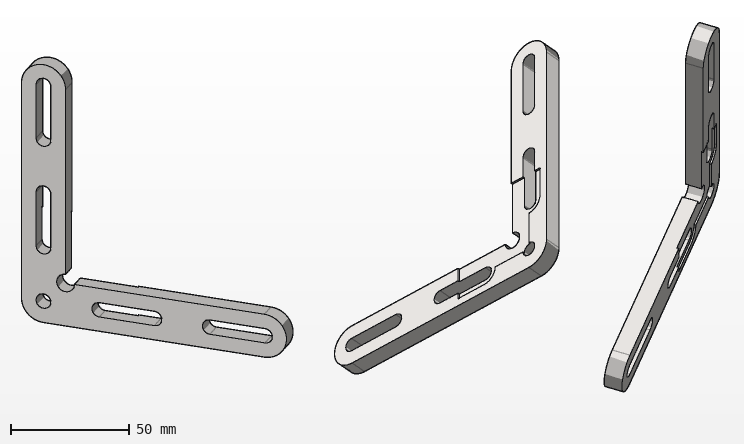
import cadquery as cq

overall = 120.0
thickness = 8.0
arm_width = overall / 6
end_radius = arm_width / 2
relief_radius = overall / 30
hole_diameter = 6.6
slot_travel = 25.0
slot_pitch = 50.0
slot_end_margin = 9.7
recess_depth = 0.8
recess_reach = 50.0
recess_slot_radius = 6.2

axis = end_radius
outer_slot = overall - slot_end_margin - slot_travel / 2
slot_centers = [outer_slot - slot_pitch, outer_slot]
inner_slot_start = slot_centers[0] - slot_travel / 2
slot_length = slot_travel + hole_diameter


def sketch_plane():
    """XZ plane whose extrusions run toward -Y."""
    return cq.Workplane("XZ")


def rounded_arm(x, z, angle):
    """Round-ended arm centred at (x, z)."""
    return (
        sketch_plane()
        .center(x, z)
        .slot2D(overall, arm_width, angle)
        .extrude(thickness)
    )


def slot_cutter(x, z, angle):
    """Through slot centred at (x, z)."""
    return (
        sketch_plane()
        .center(x, z)
        .slot2D(slot_length, hole_diameter, angle)
        .extrude(thickness)
    )


def round_cutter(x, z, radius):
    """Through hole centred at (x, z)."""
    return sketch_plane().center(x, z).circle(radius).extrude(thickness)


def recess_cutter():
    """Shallow pocket in the +Y face of the X arm, open to the arm's inner edge.

    It covers the inner half of the arm width and widens to a round-ended strip
    around the inner slot.
    """
    band_length = recess_reach - axis
    band_height = arm_width - axis
    band = (
        sketch_plane()
        .center(axis, axis)
        .rect(band_length, band_height, centered=False)
        .extrude(recess_depth)
    )
    strip_length = recess_reach - inner_slot_start
    strip = (
        sketch_plane()
        .center(inner_slot_start, axis - recess_slot_radius)
        .rect(strip_length, recess_slot_radius, centered=False)
        .extrude(recess_depth)
    )
    round_end = (
        sketch_plane()
        .center(inner_slot_start, axis)
        .circle(recess_slot_radius)
        .extrude(recess_depth)
    )
    return band.union(strip).union(round_end)


def swap_arms(body):
    """Turn a body on the X arm into its mirror image on the Z arm."""
    return body.mirror("XY").rotate((0, 0, 0), (0, 1, 0), -90)


bracket = rounded_arm(overall / 2, axis, 0).union(rounded_arm(axis, overall / 2, 90))

bracket = bracket.cut(round_cutter(axis, axis, hole_diameter / 2))
bracket = bracket.cut(round_cutter(arm_width, arm_width, relief_radius))

for position in slot_centers:
    bracket = bracket.cut(slot_cutter(position, axis, 0))
    bracket = bracket.cut(slot_cutter(axis, position, 90))

recess = recess_cutter()
bracket = bracket.cut(recess)
bracket = bracket.cut(swap_arms(recess))

result = bracket